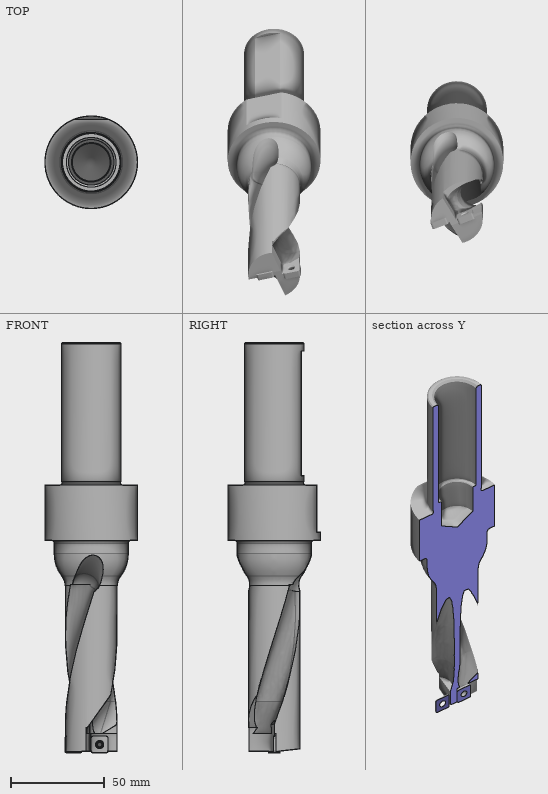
import cadquery as cq
import math

TOTAL_HEIGHT = 218.5

SHANK_RADIUS = 16.0
SHANK_BOTTOM_Z = 144.6
SHANK_FLAT_Y = 14.5
SHANK_FLAT_LOW_Z = 147.7
SHANK_FLAT_HIGH_Z = 213.9
SHANK_CHAMFER = 0.7
NECK_RADIUS = 31.2 / 2
NECK_FILLET = 1.0

BORE_RADIUS = 24.2 / 2
BORE_CHAMFER = 1.0
BORE_FLOOR_Z = 148.5
INNER_BORE_RADIUS = 20.0 / 2
INNER_BORE_CHAMFER = 0.5
INNER_BORE_FLOOR_Z = 131.0
BORE_CONE_DEPTH = 6.0

COLLAR_RADIUS = 49.4 / 2
COLLAR_TOP_Z = 142.6
COLLAR_BOTTOM_Z = 113.2
COLLAR_FLAT_Y = 22.7
COLLAR_FLAT_LOW_Z = 117.5

SHOULDER_RADIUS = 39.5 / 2
SHOULDER_FILLET = 1.5
SHOULDER_CENTRE_Z = 106.2
SHOULDER_FOOT_RADIUS = 14.0
SHOULDER_FOOT_FILLET = 8.0

DRILL_RADIUS = 13.8
DRILL_BOTTOM_Z = 0.9
RELIEF_START_Y = 2.2
RELIEF_RISE = 1.5

FLUTE_RADIUS = 14.0 / 2
FLUTE_CENTRE_RADIUS = 9.0
FLUTE_ARC_END_RADIUS = 13.0
FLUTE_BOTTOM_Z = 27.3
FLUTE_TOP_Z = 89.5
FLUTE_BOTTOM_ANGLE = 168.0
FLUTE_TWIST_PER_UNIT = 1.328
RUNOUT_TANGENT = 0.9
RUNOUT_OUTWARD = 1.3
RUNOUT_LENGTH = 30.5
TAIL_END_Z = 10.3
TAIL_SHIFTS_X = (5.2, 2.0)
TAIL_SHIFT_Y = 4.8

POCKET_WALL_GAP = 0.7
POCKET_WALL_ANGLE = 9.0
POCKET_SHOULDER_STEP = 1.3
POCKET_SHOULDER_Z = 13.5
POCKET_SLOPE_END_X = 11.0
POCKET_SLOPE_END_Z = 31.7
POCKET_FACE_Y = 0.0
LAND_DEPTH = 0.9
LAND_TOP_Z = 10.3

CUTTING_RADIUS = 14.0
INSERT_SIZE = 9.0
INSERT_CORNER = 1.0
INSERT_FACE_Y = -0.5
INSERT_THICKNESS = 3.5
CENTRAL_INSERT_X = 0.0
OUTER_INSERT_X = CUTTING_RADIUS - INSERT_SIZE
INSERT_X = (CENTRAL_INSERT_X, OUTER_INSERT_X)
INSERT_HOLE_DIAMETER = 3.3
INSERT_SINK_DIAMETER = 4.4
INSERT_SINK_ANGLE = 90.0
SCREW_HOLE_DIAMETER = 2.5
SCREW_HOLE_DEPTH = 3.3

CLEARANCE = 2.2
HALF_TURNS = (0.0, 180.0)
Z_AXIS = ((0, 0, 0), (0, 0, 1))


def turned_blank():
    """Solid of revolution: drill shaft, rounded shoulder, collar, neck and shank."""
    fillet_centre_r = SHOULDER_FOOT_RADIUS + SHOULDER_FOOT_FILLET
    centre_distance = SHOULDER_RADIUS + SHOULDER_FOOT_FILLET
    fillet_drop = math.sqrt(centre_distance**2 - fillet_centre_r**2)
    fillet_z = SHOULDER_CENTRE_Z - fillet_drop
    share = SHOULDER_RADIUS / centre_distance
    tangent_r = fillet_centre_r * share
    tangent_z = SHOULDER_CENTRE_Z - fillet_drop * share
    half_angle = math.atan2(fillet_drop, fillet_centre_r) / 2
    sphere_mid = (
        SHOULDER_RADIUS * math.cos(half_angle),
        SHOULDER_CENTRE_Z - SHOULDER_RADIUS * math.sin(half_angle),
    )
    foot_mid = (
        fillet_centre_r - SHOULDER_FOOT_FILLET * math.cos(half_angle),
        fillet_z + SHOULDER_FOOT_FILLET * math.sin(half_angle),
    )
    diagonal = 1 - math.sqrt(0.5)
    profile = (
        cq.Workplane("XZ")
        .moveTo(0, DRILL_BOTTOM_Z)
        .lineTo(DRILL_RADIUS, DRILL_BOTTOM_Z)
        .lineTo(DRILL_RADIUS, fillet_z)
        .lineTo(SHOULDER_FOOT_RADIUS, fillet_z)
        .threePointArc(foot_mid, (tangent_r, tangent_z))
        .threePointArc(sphere_mid, (SHOULDER_RADIUS, SHOULDER_CENTRE_Z))
        .lineTo(SHOULDER_RADIUS, COLLAR_BOTTOM_Z - SHOULDER_FILLET)
        .threePointArc(
            (SHOULDER_RADIUS + SHOULDER_FILLET * diagonal, COLLAR_BOTTOM_Z - SHOULDER_FILLET * diagonal),
            (SHOULDER_RADIUS + SHOULDER_FILLET, COLLAR_BOTTOM_Z),
        )
        .lineTo(COLLAR_RADIUS, COLLAR_BOTTOM_Z)
        .lineTo(COLLAR_RADIUS, COLLAR_TOP_Z)
        .lineTo(NECK_RADIUS + NECK_FILLET, COLLAR_TOP_Z)
        .threePointArc(
            (NECK_RADIUS + NECK_FILLET * diagonal, COLLAR_TOP_Z + NECK_FILLET * diagonal),
            (NECK_RADIUS, COLLAR_TOP_Z + NECK_FILLET),
        )
        .lineTo(NECK_RADIUS, SHANK_BOTTOM_Z)
        .lineTo(SHANK_RADIUS, SHANK_BOTTOM_Z)
        .lineTo(SHANK_RADIUS, TOTAL_HEIGHT - SHANK_CHAMFER)
        .lineTo(SHANK_RADIUS - SHANK_CHAMFER, TOTAL_HEIGHT)
        .lineTo(0, TOTAL_HEIGHT)
        .close()
    )
    return profile.revolve(360, (0, 0, 0), (0, 1, 0))


def coolant_bore():
    """Stepped blind bore with a conical end."""
    points = [
        (0, TOTAL_HEIGHT),
        (BORE_RADIUS + BORE_CHAMFER, TOTAL_HEIGHT),
        (BORE_RADIUS, TOTAL_HEIGHT - BORE_CHAMFER),
        (BORE_RADIUS, BORE_FLOOR_Z),
        (INNER_BORE_RADIUS + INNER_BORE_CHAMFER, BORE_FLOOR_Z),
        (INNER_BORE_RADIUS, BORE_FLOOR_Z - INNER_BORE_CHAMFER),
        (INNER_BORE_RADIUS, INNER_BORE_FLOOR_Z),
        (0, INNER_BORE_FLOOR_Z - BORE_CONE_DEPTH),
    ]
    return cq.Workplane("XZ").polyline(points).close().revolve(360, (0, 0, 0), (0, 1, 0))


def flat_cutter(flat_y, low_z, high_z):
    """Block that leaves a flat facing +Y at flat_y between two heights."""
    width = 2 * COLLAR_RADIUS
    block = cq.Workplane("XY").box(width, width, high_z - low_z, centered=(True, False, False))
    return block.translate((0, flat_y, low_z))


def flute_profile():
    """Slot at the lower end of the twist, open to the outside: one straight wall, the rest an arc."""
    reach = DRILL_RADIUS + CLEARANCE
    return (
        cq.Workplane("XY", origin=(0, 0, FLUTE_BOTTOM_Z))
        .transformed(rotate=(0, 0, FLUTE_BOTTOM_ANGLE))
        .moveTo(reach, -FLUTE_RADIUS)
        .lineTo(FLUTE_ARC_END_RADIUS, -FLUTE_RADIUS)
        .threePointArc((FLUTE_CENTRE_RADIUS - FLUTE_RADIUS, 0), (FLUTE_CENTRE_RADIUS, FLUTE_RADIUS))
        .lineTo(reach, FLUTE_RADIUS)
        .close()
    )


def flute(tail_shift_x):
    """Cutters of one chip groove: its twist, slanted tail, run-out through the shoulder and ball between."""
    height = FLUTE_TOP_Z - FLUTE_BOTTOM_Z
    twist = FLUTE_TWIST_PER_UNIT * height
    groove = flute_profile().twistExtrude(height, twist)

    tail_path = cq.Vector(tail_shift_x, TAIL_SHIFT_Y, TAIL_END_Z - FLUTE_BOTTOM_Z)
    tail = cq.Workplane(cq.Solid.extrudeLinear(flute_profile().wires().val(), [], tail_path))

    end_angle = math.radians(FLUTE_BOTTOM_ANGLE + twist)
    outward = cq.Vector(math.cos(end_angle), math.sin(end_angle), 0)
    tangent = cq.Vector(-math.sin(end_angle), math.cos(end_angle), 0)
    top_centre = outward * FLUTE_CENTRE_RADIUS + cq.Vector(0, 0, FLUTE_TOP_Z)
    direction = outward * RUNOUT_OUTWARD + tangent * RUNOUT_TANGENT + cq.Vector(0, 0, 1)
    runout = cq.Workplane(cq.Solid.makeCylinder(FLUTE_RADIUS, RUNOUT_LENGTH, top_centre, direction))
    ball = cq.Workplane("XY").sphere(FLUTE_RADIUS).translate(top_centre)
    return groove, tail, runout, ball


def chip_pocket(insert_x):
    """Open corner in front of an insert that starts at insert_x, under a sloping roof."""
    wall_x = insert_x - POCKET_WALL_GAP
    reach = DRILL_RADIUS + CLEARANCE
    lean = reach * math.tan(math.radians(POCKET_WALL_ANGLE))
    plan = [
        (wall_x, POCKET_FACE_Y),
        (wall_x - lean, -reach),
        (reach, -reach),
        (reach, POCKET_FACE_Y),
    ]
    side = [
        (-reach, -CLEARANCE),
        (-reach, POCKET_SHOULDER_Z),
        (wall_x - POCKET_SHOULDER_STEP, POCKET_SHOULDER_Z),
        (POCKET_SLOPE_END_X, POCKET_SLOPE_END_Z),
        (reach, POCKET_SLOPE_END_Z),
        (reach, -CLEARANCE),
    ]
    corner = cq.Workplane("XY", origin=(0, 0, -CLEARANCE)).polyline(plan).close()
    corner = corner.extrude(POCKET_SLOPE_END_Z + 2 * CLEARANCE)
    roof = cq.Workplane("XZ").polyline(side).close().extrude(reach, both=True)
    return corner.intersect(roof)


def land_cutter():
    """Shallow step beside the central insert."""
    width = DRILL_RADIUS + CLEARANCE - CENTRAL_INSERT_X
    height = LAND_TOP_Z + CLEARANCE
    block = cq.Workplane("XY").box(width, LAND_DEPTH, height, centered=False)
    return block.translate((CENTRAL_INSERT_X, POCKET_FACE_Y, -CLEARANCE))


def end_relief():
    """Wedge that lifts the end face behind the central insert."""
    reach = DRILL_RADIUS + CLEARANCE
    points = [
        (RELIEF_START_Y, DRILL_BOTTOM_Z),
        (reach, DRILL_BOTTOM_Z + RELIEF_RISE),
        (reach, DRILL_BOTTOM_Z - CLEARANCE),
        (RELIEF_START_Y, DRILL_BOTTOM_Z - CLEARANCE),
    ]
    return cq.Workplane("YZ").polyline(points).close().extrude(reach, both=True)


def insert_blank(left_x):
    """Square plate with rounded corners, its cutting face toward -Y."""
    centre = (left_x + INSERT_SIZE / 2, INSERT_FACE_Y + INSERT_THICKNESS, INSERT_SIZE / 2)
    block = cq.Workplane("XZ", origin=centre).rect(INSERT_SIZE, INSERT_SIZE).extrude(INSERT_THICKNESS)
    return block.edges("|Y").fillet(INSERT_CORNER)


def insert(left_x, turn):
    """Insert with a countersunk screw hole, turned about Z to its place."""
    drilled = (
        insert_blank(left_x)
        .faces("<Y")
        .workplane(centerOption="CenterOfBoundBox")
        .cskHole(INSERT_HOLE_DIAMETER, INSERT_SINK_DIAMETER, INSERT_SINK_ANGLE)
    )
    return drilled.rotate(*Z_AXIS, turn)


def insert_seat(left_x, turn):
    """Recess of the insert with the screw hole behind it."""
    back = (left_x + INSERT_SIZE / 2, INSERT_FACE_Y + INSERT_THICKNESS, INSERT_SIZE / 2)
    hole = cq.Workplane("XZ", origin=back).circle(SCREW_HOLE_DIAMETER / 2).extrude(-SCREW_HOLE_DEPTH)
    return insert_blank(left_x).union(hole).rotate(*Z_AXIS, turn)


insert_places = list(zip(INSERT_X, HALF_TURNS))

drill_body = turned_blank().cut(coolant_bore())
drill_body = drill_body.cut(flat_cutter(SHANK_FLAT_Y, SHANK_FLAT_LOW_Z, SHANK_FLAT_HIGH_Z))
drill_body = drill_body.cut(flat_cutter(COLLAR_FLAT_Y, COLLAR_FLAT_LOW_Z, COLLAR_TOP_Z))
for insert_x, tail_shift_x, turn in zip(INSERT_X, TAIL_SHIFTS_X, HALF_TURNS):
    drill_body = drill_body.cut(chip_pocket(insert_x).rotate(*Z_AXIS, turn))
    for cutter in flute(tail_shift_x):
        drill_body = drill_body.cut(cutter.rotate(*Z_AXIS, turn + 180))
drill_body = drill_body.cut(land_cutter()).cut(end_relief())
for place in insert_places:
    drill_body = drill_body.cut(insert_seat(*place))

inserts = [insert(*place) for place in insert_places]

result = cq.Compound.makeCompound([drill_body.val(), *(plate.val() for plate in inserts)])